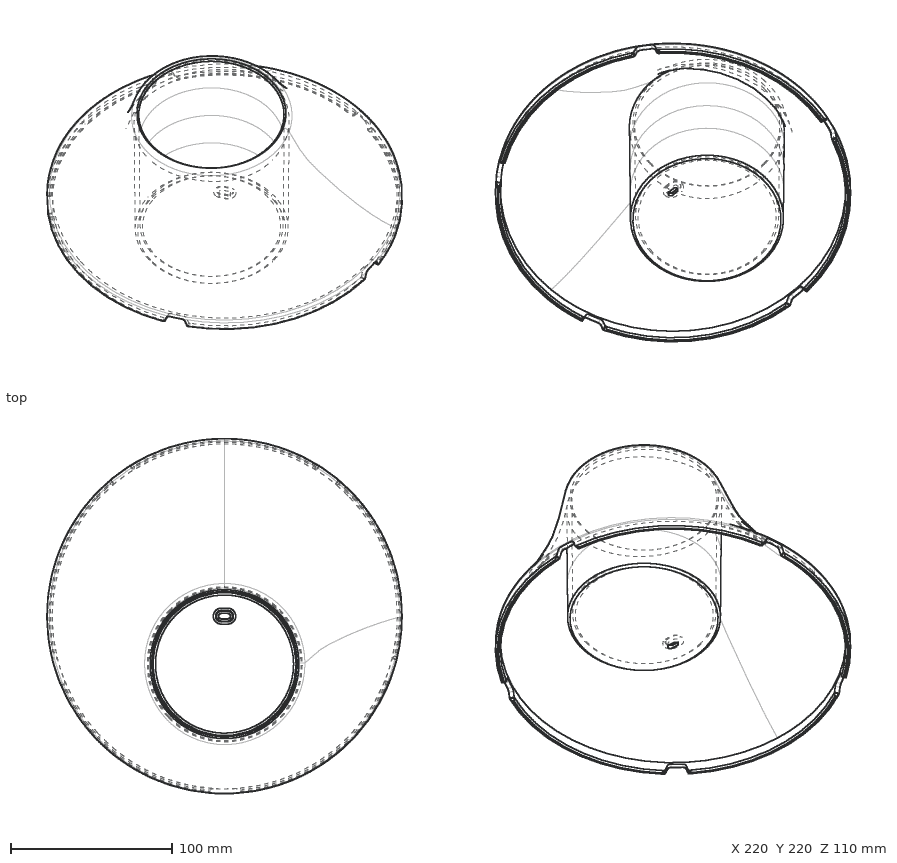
import cadquery as cq
import math

base_radius = 110.0
rim_height = 8.1
rim_fillet = 3.3
bottom_chamfer = 1.0
skin_thickness = 3.0

top_height = 110.0
neck_y = -29.7
neck_radius = 48.2
mouth_tilt = 0.6
lip_fillet = 3.5
mouth_z = top_height - (neck_radius - lip_fillet / 2) * math.tan(math.radians(mouth_tilt))
mouth_chamfer = 1.0

flare_sections = [
    (rim_height, base_radius, base_radius, -base_radius),
    (34.0, 84.5, 80.5, -97.0),
    (63.4, 65.5, 53.2, -87.0),
    (83.2, 56.5, 37.8, -83.4),
    (112.2, neck_radius, 17.8, -78.0),
]

cup_diameters = [90.0, 89.8, 89.3, 89.0, 88.7]
cup_band_depth = 24.6
cup_floor_chamfer = 1.5
cup_wall = 3.0
cup_floor_z = 8.1

slot_straight = 4.0
slot_width = 3.3
slot_mouth_width = 6.2
collar_crest_width = 7.0
collar_root_width = 10.0
collar_height = (collar_root_width - collar_crest_width) / 2

notch_count = 5
notch_height = 6.8
notch_top_width = 10.5
notch_bottom_width = 15.5
notch_corner_radius = 2.2
notch_foot_chamfer = 1.3
notch_depth = 11.0


def flare_solid(inset):
    """Smooth loft through the flare ellipses, each shrunk by inset."""
    loft = cq.Workplane("XY")
    last_z = 0
    last_y = 0
    for z, half_width, back_y, front_y in flare_sections:
        center_y = (back_y + front_y) / 2
        half_length = (back_y - front_y) / 2
        loft = loft.workplane(offset=z - last_z).center(0, center_y - last_y)
        loft = loft.ellipse(half_width - inset, half_length - inset)
        last_z = z
        last_y = center_y
    return loft.loft(ruled=False, combine=True)


def base_disc(inset):
    return cq.Workplane("XY").circle(base_radius - inset).extrude(rim_height)


def mouth_plane():
    """Workplane on the tilted mouth, centred on the neck."""
    return cq.Workplane("XY", origin=(0, neck_y, mouth_z)).transformed(rotate=(mouth_tilt, 0, 0))


def outer_body():
    """Solid outer shape with rounded rim and lip."""
    body = flare_solid(0).union(base_disc(0))
    tolerance = 0.2
    rim_zone = cq.selectors.BoxSelector(
        (-2 * base_radius, -2 * base_radius, rim_height - tolerance),
        (2 * base_radius, 2 * base_radius, rim_height + tolerance),
        boundingbox=True,
    )
    body = body.edges(rim_zone).fillet(rim_fillet)
    body = body.cut(mouth_plane().circle(base_radius).extrude(top_height))
    return body.faces(">Z").edges().fillet(lip_fillet)


def cup_solid(wall):
    """Tapered bands with a chamfered floor corner, grown outwards and downwards by wall."""
    points = [(0, top_height)]
    for band, diameter in enumerate(cup_diameters[:-1]):
        points.append((diameter / 2 + wall, top_height - band * cup_band_depth))
    floor_radius = cup_diameters[-1] / 2 + wall
    points.append((floor_radius, cup_floor_z - wall + cup_floor_chamfer))
    points.append((floor_radius - cup_floor_chamfer, cup_floor_z - wall))
    points.append((0, cup_floor_z - wall))
    cup = cq.Workplane("XZ").polyline(points).close().revolve(360, (0, 0, 0), (0, 1, 0))
    return cup.translate((0, neck_y, 0))


def mouth_chamfer_cutter():
    """Cone that breaks the inner edge of the mouth."""
    bore_radius = cup_diameters[0] / 2
    return (
        mouth_plane()
        .circle(bore_radius + mouth_chamfer)
        .workplane(offset=-mouth_chamfer)
        .circle(bore_radius)
        .loft(ruled=True, combine=True)
    )


def tapered_slot(bottom_width, top_width, bottom_z, height):
    """Round-ended block along X whose width changes evenly with height."""
    return (
        cq.Workplane("XY", origin=(0, 0, bottom_z))
        .slot2D(slot_straight + bottom_width, bottom_width)
        .workplane(offset=height)
        .slot2D(slot_straight + top_width, top_width)
        .loft(ruled=True, combine=True)
    )


def notch_cutter():
    """Trapezoidal cutter through the -Y side of the rim, with rounded top corners and a widened foot."""
    bottom = notch_bottom_width / 2
    top = notch_top_width / 2
    trapezoid = [(-bottom, 0), (bottom, 0), (top, notch_height), (-top, notch_height)]
    throat = (
        cq.Workplane("XZ", origin=(0, notch_depth - base_radius, 0))
        .polyline(trapezoid)
        .close()
        .extrude(notch_depth)
        .edges("|Y and >Z")
        .fillet(notch_corner_radius)
    )
    foot = (
        cq.Workplane("XY", origin=(0, notch_depth / 2 - base_radius, 0))
        .rect(notch_bottom_width + 2 * notch_foot_chamfer, notch_depth)
        .workplane(offset=notch_foot_chamfer)
        .rect(notch_bottom_width, notch_depth)
        .loft(ruled=True, combine=True)
    )
    return throat.union(foot)


cavity = flare_solid(skin_thickness).union(base_disc(skin_thickness)).cut(cup_solid(cup_wall))
result = outer_body().cut(cavity)
result = result.faces("<Z").edges().chamfer(bottom_chamfer)
result = result.cut(cup_solid(0), clean=False).cut(mouth_chamfer_cutter(), clean=False)

collar = tapered_slot(collar_root_width, collar_crest_width, cup_floor_z, collar_height)
slot = tapered_slot(slot_width, slot_width, cup_floor_z - 2 * cup_wall, 3 * cup_wall)
countersink = tapered_slot(slot_width, slot_mouth_width, cup_floor_z, collar_height)
result = result.union(collar, clean=False).cut(slot, clean=False).cut(countersink, clean=False)

for index in range(notch_count):
    cutter = notch_cutter().rotate((0, 0, 0), (0, 0, 1), index * 360 / notch_count)
    result = result.cut(cutter, clean=False)